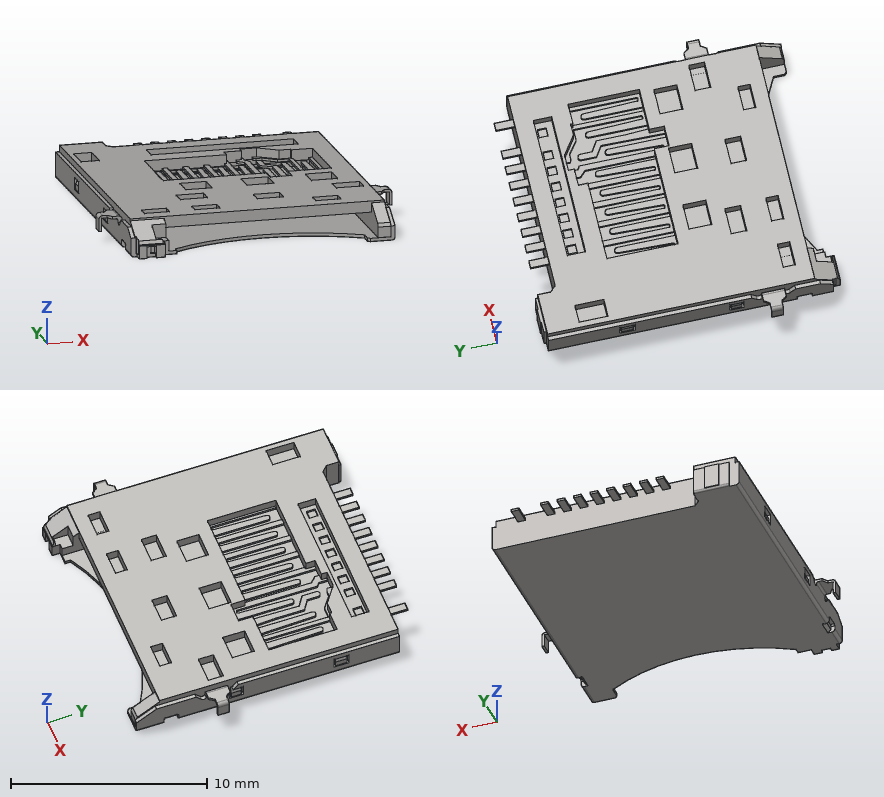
import cadquery as cq
import math

HEIGHT = 1.76
SHELL_HALF_WIDTH = 6.92
BODY_HALF_WIDTH = 6.71
SHEET = 0.18
WALL = SHELL_HALF_WIDTH - BODY_HALF_WIDTH
SHELL_TOP = 1.42
BEND_RADIUS = 0.17

REAR = 6.6
REAR_TAB = 7.58
COVER_FRONT = -6.4
LEFT_FRONT = -7.33
RIGHT_FRONT = -7.74
OUTER_REAR = 7.76
OUTER_LENGTH = 15.52
OUTER_FRONT = OUTER_REAR - OUTER_LENGTH

SLOT_LEFT = -4.92
SLOT_RIGHT = 6.03
SLOT_TOP = 1.17
SLOT_REAR = 5.8

COMB_TOP = 1.29
CONTACT_PITCH = 1.1
WINDOW_LEFT = -3.26
WINDOW_RIGHT = 5.61
WINDOW_FRONT = -0.04
WINDOW_REAR = 3.69
LONG_FRONT = -0.82


def block(x0, x1, y0, y1, z0, z1):
    return cq.Workplane("XY").box(x1 - x0, y1 - y0, z1 - z0, centered=False).translate((x0, y0, z0))


def prism(points, z0, z1):
    return cq.Workplane("XY").workplane(offset=z0).polyline(points).close().extrude(z1 - z0)


def side_prism(points, x0, x1):
    """Extrude a (y, z) outline along X."""
    return cq.Workplane("YZ").workplane(offset=x0).polyline(points).close().extrude(x1 - x0)


REAR_TAB_RIGHT = -4.44
REAR_TAB_CHAMFER = 0.3
LEG_STEP = 0.1
LEG_TOP = HEIGHT - LEG_STEP
LEG_TIP = -7.62
LEG_TIP_BEVEL = 0.1
LEG_TIP_TOP = 0.92
LEG_NOSE_TOP = 0.74


def cover():
    chamfer_right = REAR_TAB_RIGHT + REAR_TAB_CHAMFER
    outline = [
        (-BODY_HALF_WIDTH, COVER_FRONT),
        (BODY_HALF_WIDTH, COVER_FRONT),
        (BODY_HALF_WIDTH, REAR),
        (chamfer_right, REAR),
        (REAR_TAB_RIGHT, REAR + REAR_TAB_CHAMFER),
        (REAR_TAB_RIGHT, REAR_TAB),
        (-BODY_HALF_WIDTH, REAR_TAB),
    ]
    slot = block(SLOT_LEFT, SLOT_RIGHT, COVER_FRONT, SLOT_REAR, 0, SLOT_TOP)
    return prism(outline, 0, HEIGHT).edges("|Y and <Z").chamfer(BEND_RADIUS).cut(slot)


def leg(x0, x1):
    """A leg that slopes down in front of the cover, beside the mouth of the slot."""
    profile = [
        (COVER_FRONT, SHEET),
        (COVER_FRONT, LEG_TOP),
        (LEG_TIP, LEG_TIP_TOP),
        (LEG_TIP - LEG_TIP_BEVEL, LEG_NOSE_TOP),
        (LEG_TIP - LEG_TIP_BEVEL, SHEET),
    ]
    return side_prism(profile, x0, x1)


LEFT_NOTCH_X = -5.66
LEFT_NOTCH_REAR = -6.73
HOOK_LEFT = -6.59
HOOK_RIGHT = -5.22
LIP_REAR = -7.56
LIP_BEVEL = 0.14
SHOULDER_X = -6.65
SHOULDER_FRONT = -7.42
SHOULDER_BEVEL = 0.12


def left_leg():
    """Left leg, with a notch on its inner side that leaves a low lip at the front."""
    notch = block(LEFT_NOTCH_X, SLOT_LEFT, LIP_REAR, LEFT_NOTCH_REAR, LEG_NOSE_TOP, HEIGHT)
    above_lip = block(LEFT_NOTCH_X, SLOT_LEFT, OUTER_FRONT, LIP_REAR, LEG_TIP_TOP, HEIGHT)
    corner = block(HOOK_RIGHT, SLOT_LEFT, OUTER_FRONT, LEFT_FRONT, 0, HEIGHT)
    shoulder = prism(
        [
            (-BODY_HALF_WIDTH, OUTER_FRONT),
            (-BODY_HALF_WIDTH, LEFT_FRONT),
            (SHOULDER_X, LEFT_FRONT),
            (SHOULDER_X, SHOULDER_FRONT),
            (HOOK_LEFT, SHOULDER_FRONT - SHOULDER_BEVEL),
            (HOOK_LEFT, OUTER_FRONT),
        ],
        0,
        HEIGHT,
    )
    lip_bevel = (
        cq.Workplane("XZ", origin=(0, OUTER_FRONT, 0))
        .polyline(
            [
                (HOOK_RIGHT - LIP_BEVEL, LEG_TIP_TOP),
                (HOOK_RIGHT, LEG_TIP_TOP),
                (HOOK_RIGHT, LEG_NOSE_TOP),
            ]
        )
        .close()
        .extrude(OUTER_FRONT - LIP_REAR)
    )
    whole = leg(-BODY_HALF_WIDTH, SLOT_LEFT)
    return whole.cut(notch).cut(above_lip).cut(corner).cut(shoulder).cut(lip_bevel)


RECESS_LEFT = -3.01
RECESS_RIGHT = 5.29
RECESS_TOP = 0.5
RECESS_STEP = 0.43
RECESS_DEPTH = 0.2
RECESS_LIP = 0.06


def slot_recess():
    """Stepped recess low in the rear wall of the slot."""
    middle = SLOT_REAR + RECESS_DEPTH
    outer = block(RECESS_LEFT, RECESS_RIGHT, SLOT_REAR, middle, SHEET, RECESS_TOP)
    inner = block(
        RECESS_LEFT + RECESS_STEP,
        RECESS_RIGHT - RECESS_STEP,
        middle,
        middle + RECESS_DEPTH,
        SHEET + RECESS_LIP,
        RECESS_TOP,
    )
    return outer.union(inner)


COVER_WINDOWS = [
    (-1.89, -1.36, 1.39, 1.2),
    (1.36, -1.36, 1.42, 1.2),
    (4.74, -1.36, 1.39, 1.2),
    (-2.6, -3.21, 1.44, 0.82),
    (5.64, -3.21, 1.44, 0.82),
    (1.21, -4.08, 1.38, 0.82),
    (-5.08, -5.29, 1.32, 0.64),
    (-2.42, -5.29, 1.32, 0.64),
    (3.97, -5.29, 1.32, 0.64),
    (-5.94, 5.11, 0.96, 1.51),
]
WINDOW_FLOOR = 1.23


def cover_windows():
    cuts = cq.Workplane("XY")
    for x, y, length, width in COVER_WINDOWS:
        cuts = cuts.union(
            block(x - length / 2, x + length / 2, y - width / 2, y + width / 2, WINDOW_FLOOR, HEIGHT)
        )
    return cuts


PIN_PITCH = 0.9
PIN_COUNT = 8
FIRST_PIN_X = -2.6
PIN_ROOT = 0.2
LAST_PIN_X = 5.3
PIN_WIDTH = 0.41
PIN_TOP = 1.55
PIN_BOTTOM = 1.42
TROUGH_LEFT = -2.64
TROUGH_RIGHT = 5.12
TROUGH_FRONT = 4.66
TROUGH_REAR = 5.62
TROUGH_FLOOR = COMB_TOP
HOLE_SIZE = 0.46
HOLE_Y = 5.26
HOLE_COUNT = 7
FIRST_HOLE_X = -2.14
LAST_HOLE_X = 4.55


def trough():
    """Long pocket with a row of square holes in its floor."""
    cuts = block(TROUGH_LEFT, TROUGH_RIGHT, TROUGH_FRONT, TROUGH_REAR, TROUGH_FLOOR, HEIGHT)
    hole_xs = [FIRST_HOLE_X + i * PIN_PITCH for i in range(HOLE_COUNT)] + [LAST_HOLE_X]
    half = HOLE_SIZE / 2
    for x in hole_xs:
        cuts = cuts.union(block(x - half, x + half, HOLE_Y - half, HOLE_Y + half, SLOT_TOP, HEIGHT))
    return cuts


def pins():
    pin_xs = [FIRST_PIN_X + i * PIN_PITCH for i in range(PIN_COUNT)] + [LAST_PIN_X]
    row = cq.Workplane("XY")
    for x in pin_xs:
        row = row.union(
            block(x - PIN_WIDTH / 2, x + PIN_WIDTH / 2, REAR - PIN_ROOT, REAR_TAB, PIN_BOTTOM, PIN_TOP)
        )
    return row


BUMP_LEFT = 1.08
BUMP_REAR = 4.19
PEAK_LEFT = 2.0
PEAK_RIGHT = 2.88
PEAK_REAR = 4.5
SHOULDER_LEFT = 3.87
SHOULDER_RIGHT = 4.5
SHOULDER_REAR = 3.81
LONG_LEFT = 2.2
LONG_RIGHT = 3.32


def contact_window():
    outline = [
        (WINDOW_LEFT, WINDOW_REAR),
        (BUMP_LEFT, WINDOW_REAR),
        (BUMP_LEFT, BUMP_REAR),
        (PEAK_LEFT, BUMP_REAR),
        (PEAK_LEFT, PEAK_REAR),
        (PEAK_RIGHT, PEAK_REAR),
        (SHOULDER_LEFT, SHOULDER_REAR),
        (SHOULDER_RIGHT, SHOULDER_REAR),
        (SHOULDER_RIGHT, WINDOW_REAR),
        (WINDOW_RIGHT, WINDOW_REAR),
        (WINDOW_RIGHT, WINDOW_FRONT),
        (LONG_RIGHT, WINDOW_FRONT),
        (LONG_RIGHT, LONG_FRONT),
        (LONG_LEFT, LONG_FRONT),
        (LONG_LEFT, WINDOW_FRONT),
        (WINDOW_LEFT, WINDOW_FRONT),
    ]
    return prism(outline, COMB_TOP, HEIGHT)


FINGER_WIDTH_AT_TIP = 0.2
FINGER_WIDTH_AT_ROOT = 0.29
FINGER_RIB_WIDTH = 0.3
BRANCH_WIDTH = 0.22


def finger_rib(left, tip, root, front, mirrored=False):
    """Round-ended rib that gives a contact slot its finger.

    The finger's straight outer side lies at x = left. The finger ends at y = tip, and the rib
    beside it reaches back to y = root.
    """
    side = -1 if mirrored else 1
    tip_radius = FINGER_WIDTH_AT_TIP / 2
    rib_radius = FINGER_RIB_WIDTH / 2
    tip_inner = left + side * FINGER_WIDTH_AT_TIP
    rib_left = left + side * FINGER_WIDTH_AT_ROOT
    rib_right = rib_left + side * FINGER_RIB_WIDTH
    rib_middle = rib_left + side * rib_radius
    return (
        cq.Workplane("XY")
        .workplane(offset=SLOT_TOP)
        .moveTo(left, front)
        .lineTo(left, tip + tip_radius)
        .threePointArc((left + side * tip_radius, tip), (tip_inner, tip + tip_radius))
        .lineTo(rib_left, root - rib_radius)
        .threePointArc((rib_middle, root), (rib_right, root - rib_radius))
        .lineTo(rib_right, front)
        .close()
        .extrude(COMB_TOP - SLOT_TOP)
    )


FIRST_CONTACT_X = -3.15
PLAIN_CONTACTS = 4
TIP_Y = 0.09
ROOT_Y = 3.16
CONTACT_WIDTH = FINGER_WIDTH_AT_ROOT + FINGER_RIB_WIDTH + BRANCH_WIDTH


def contact_x(index):
    return FIRST_CONTACT_X + index * CONTACT_PITCH


def slot_cut(points):
    return prism(points, SLOT_TOP, COMB_TOP)


def plain_contact_slot(index):
    left = contact_x(index)
    strip = block(left, left + CONTACT_WIDTH, WINDOW_FRONT, WINDOW_REAR, SLOT_TOP, COMB_TOP)
    return strip.cut(finger_rib(left, TIP_Y, ROOT_Y, WINDOW_FRONT))


FIFTH_RIGHT = 2.01
FIFTH_ROOT_RIGHT = 1.7
FIFTH_BEND_Y = 3.63


def fifth_contact_slot():
    left = contact_x(PLAIN_CONTACTS)
    step = FIFTH_RIGHT - FIFTH_ROOT_RIGHT
    strip = slot_cut(
        [
            (left, WINDOW_FRONT),
            (left, BUMP_REAR),
            (FIFTH_ROOT_RIGHT, BUMP_REAR),
            (FIFTH_ROOT_RIGHT, FIFTH_BEND_Y + step),
            (FIFTH_RIGHT, FIFTH_BEND_Y),
            (FIFTH_RIGHT, WINDOW_FRONT),
        ]
    )
    return strip.cut(finger_rib(left, TIP_Y, ROOT_Y, WINDOW_FRONT))


LONG_TIP_Y = -0.6
LONG_ROOT_Y = 2.4
SIXTH_LEFT = 2.32
SEVENTH_RIGHT = 4.37
ROOT_LEFT = 2.13
ROOT_RIGHT = 2.63
ROOT_JOG_FRONT = 3.86
ROOT_JOG_REAR = 4.0
ROOT_CORNER_X = 2.78
ROOT_CORNER_Y = 4.25
DIAGONAL_LEFT = 3.09
DIAGONAL_RIGHT = 3.76

CRANK_LEFT = ROOT_RIGHT
CRANK_RIGHT = 2.95
CRANK_TIP = 3.82
CRANK_FRONT_LEFT = 3.19
CRANK_FRONT_RIGHT = 3.5
CRANK_LEFT_REAR = 2.89
CRANK_LEFT_FRONT = 2.52
CRANK_RIGHT_REAR = 3.06
CRANK_RIGHT_FRONT = 2.7
CRANK_TAPER_START = 1.15
CRANK_TAPER = 0.06


def cranked_rib():
    radius = (CRANK_RIGHT - CRANK_LEFT) / 2
    return (
        cq.Workplane("XY")
        .workplane(offset=SLOT_TOP)
        .moveTo(CRANK_FRONT_LEFT - CRANK_TAPER, LONG_FRONT)
        .lineTo(CRANK_FRONT_LEFT, CRANK_LEFT_FRONT)
        .lineTo(CRANK_LEFT, CRANK_LEFT_REAR)
        .lineTo(CRANK_LEFT, CRANK_TIP - radius)
        .threePointArc((CRANK_LEFT + radius, CRANK_TIP), (CRANK_RIGHT, CRANK_TIP - radius))
        .lineTo(CRANK_RIGHT, CRANK_RIGHT_REAR)
        .lineTo(CRANK_FRONT_RIGHT, CRANK_RIGHT_FRONT)
        .lineTo(CRANK_FRONT_RIGHT, CRANK_TAPER_START)
        .lineTo(CRANK_FRONT_RIGHT + CRANK_TAPER, WINDOW_FRONT)
        .lineTo(CRANK_FRONT_RIGHT + CRANK_TAPER, LONG_FRONT)
        .close()
        .extrude(COMB_TOP - SLOT_TOP)
    )


def double_contact_slot():
    """The long sixth slot and the mirrored seventh one, which share their root."""
    strip = slot_cut(
        [
            (SIXTH_LEFT, LONG_FRONT),
            (SIXTH_LEFT, ROOT_JOG_FRONT),
            (ROOT_LEFT, ROOT_JOG_REAR),
            (ROOT_LEFT, PEAK_REAR),
            (ROOT_RIGHT, PEAK_REAR),
            (ROOT_RIGHT, ROOT_CORNER_Y),
            (ROOT_CORNER_X, BUMP_REAR),
            (DIAGONAL_LEFT, BUMP_REAR),
            (DIAGONAL_RIGHT, WINDOW_REAR),
            (SEVENTH_RIGHT, WINDOW_REAR),
            (SEVENTH_RIGHT, WINDOW_FRONT),
            (LONG_RIGHT, WINDOW_FRONT),
            (LONG_RIGHT, LONG_FRONT),
        ]
    )
    long_rib = finger_rib(SIXTH_LEFT, LONG_TIP_Y, LONG_ROOT_Y, LONG_FRONT)
    mirrored_rib = finger_rib(SEVENTH_RIGHT, TIP_Y, ROOT_Y, WINDOW_FRONT, mirrored=True)
    return strip.cut(cranked_rib()).cut(long_rib).cut(mirrored_rib)


LAST_RIGHT = 5.41


def last_contact_slot():
    strip = block(LAST_RIGHT - CONTACT_WIDTH, LAST_RIGHT, WINDOW_FRONT, WINDOW_REAR, SLOT_TOP, COMB_TOP)
    return strip.cut(finger_rib(LAST_RIGHT, TIP_Y, ROOT_Y, WINDOW_FRONT, mirrored=True))


def contact_slots():
    group = double_contact_slot().union(fifth_contact_slot()).union(last_contact_slot())
    for index in range(PLAIN_CONTACTS):
        group = group.union(plain_contact_slot(index))
    return group


ARC_RADIUS = 9.9
ARC_LEFT = -4.5
ARC_RIGHT = 5.49
ARC_END_Y = -7.03
FOOT_CHAMFER = 0.12


def floor_plate():
    """Bottom of the shell, with a shallow thumb arc between its two legs."""
    middle = (ARC_LEFT + ARC_RIGHT) / 2
    half_chord = (ARC_RIGHT - ARC_LEFT) / 2
    rise = ARC_RADIUS - math.sqrt(ARC_RADIUS**2 - half_chord**2)
    return (
        cq.Workplane("XY")
        .moveTo(-SHELL_HALF_WIDTH, LEFT_FRONT)
        .lineTo(ARC_LEFT, LEFT_FRONT)
        .lineTo(ARC_LEFT, ARC_END_Y)
        .threePointArc((middle, ARC_END_Y + rise), (ARC_RIGHT, ARC_END_Y))
        .lineTo(ARC_RIGHT, RIGHT_FRONT + FOOT_CHAMFER)
        .lineTo(ARC_RIGHT + FOOT_CHAMFER, RIGHT_FRONT)
        .lineTo(SHELL_HALF_WIDTH, RIGHT_FRONT)
        .lineTo(SHELL_HALF_WIDTH, REAR)
        .lineTo(REAR_TAB_RIGHT, REAR)
        .lineTo(REAR_TAB_RIGHT, REAR_TAB)
        .lineTo(-SHELL_HALF_WIDTH, REAR_TAB)
        .close()
        .extrude(SHEET)
    )


TAB_TOP = 1.48
TAB_SHEET = 0.14
TAB_BEND = 0.19
TAB_UNDER_BEND = 0.12
TAB_HALF_ROOT = 0.6
TAB_HALF_TIP = 0.31
TAB_SHOULDER = 7.22
TAB_NECK = 7.42
TAB_FOOT = 0.64
TAB_REACH = 7.85
TAB_WALL_TOP = 1.1
LEFT_TAB_Y = -4.2
RIGHT_TAB_Y = -3.34
SCALLOP_WIDTH = 0.55
SCALLOP_BOTTOM = 1.05
SCALLOP_MIDDLE = 0.17
SCALLOP_RUN = 0.27
SCALLOP_RISE = 0.07
TAB_SIDE_RISE = 0.1
SLOPE_START = -6.65


def side_wall(tab_y, rear, front):
    """Side wall for +X: it dips on both sides of the solder tab and slopes down at the front."""
    slope = (LEG_TOP - LEG_TIP_TOP) / (COVER_FRONT - LEG_TIP)
    front_top = SHELL_TOP - slope * (SLOPE_START - front)
    near = tab_y + TAB_HALF_ROOT
    far = tab_y - TAB_HALF_ROOT
    dip_start_top = SCALLOP_BOTTOM + SCALLOP_RISE
    dip_end_top = SCALLOP_BOTTOM + TAB_SIDE_RISE
    return (
        cq.Workplane("YZ")
        .workplane(offset=BODY_HALF_WIDTH)
        .moveTo(front, 0)
        .lineTo(rear, 0)
        .lineTo(rear, SHELL_TOP)
        .lineTo(near + SCALLOP_WIDTH, SHELL_TOP)
        .lineTo(near + SCALLOP_RUN, dip_start_top)
        .threePointArc((near + SCALLOP_MIDDLE, SCALLOP_BOTTOM), (near, dip_end_top))
        .lineTo(far, dip_end_top)
        .threePointArc((far - SCALLOP_MIDDLE, SCALLOP_BOTTOM), (far - SCALLOP_RUN, dip_start_top))
        .lineTo(far - SCALLOP_WIDTH, SHELL_TOP)
        .lineTo(SLOPE_START, SHELL_TOP)
        .lineTo(front, front_top)
        .close()
        .extrude(WALL)
    )


def solder_tab(tab_y):
    """Solder tab for +X: it bends out of the side wall, narrows and bends down."""
    half_plan = [
        (BODY_HALF_WIDTH, TAB_HALF_ROOT),
        (TAB_SHOULDER, TAB_HALF_ROOT),
        (TAB_NECK, TAB_HALF_TIP),
        (TAB_REACH, TAB_HALF_TIP),
    ]
    plan = [(x, tab_y + y) for x, y in half_plan] + [(x, tab_y - y) for x, y in reversed(half_plan)]
    underside = TAB_TOP - TAB_SHEET
    under_bend = cq.selectors.NearestToPointSelector((SHELL_HALF_WIDTH, 0, underside))
    bent_strip = (
        cq.Workplane("XZ")
        .polyline(
            [
                (BODY_HALF_WIDTH, TAB_WALL_TOP),
                (BODY_HALF_WIDTH, TAB_TOP),
                (TAB_REACH, TAB_TOP),
                (TAB_REACH, TAB_FOOT),
                (TAB_REACH - TAB_SHEET, TAB_FOOT),
                (TAB_REACH - TAB_SHEET, underside),
                (SHELL_HALF_WIDTH, underside),
                (SHELL_HALF_WIDTH, TAB_WALL_TOP),
            ]
        )
        .close()
        .extrude(TAB_HALF_ROOT, both=True)
        .edges(under_bend)
        .fillet(TAB_UNDER_BEND)
        .edges("|Y and >Z")
        .fillet(TAB_BEND)
        .translate((0, tab_y, 0))
    )
    return bent_strip.intersect(prism(plan, 0, HEIGHT))


LATCHES = [(3.44, 0.82), (-2.28, 0.75)]
LATCH_BOTTOM = 0.49
LATCH_SINK = 0.05
LATCH_GAP = 0.1
LATCH_TOP = 1.11
PEG_Y = -5.84
PEG_LENGTH = 0.8
PEG_TOP = 0.43
PEG_CHAMFER = 0.08


def latch_openings():
    """Latch windows and the lower peg notch in the side wall for +X."""
    inner = BODY_HALF_WIDTH
    peg_rear = PEG_Y + PEG_LENGTH / 2
    peg_front = PEG_Y - PEG_LENGTH / 2
    cuts = block(inner - BEND_RADIUS, SHELL_HALF_WIDTH, peg_front, peg_rear, 0, PEG_TOP)
    cuts = cuts.edges("|X and >Z").chamfer(PEG_CHAMFER)
    for y, length in LATCHES:
        cuts = cuts.union(
            block(inner, SHELL_HALF_WIDTH, y - length / 2, y + length / 2, LATCH_BOTTOM, LATCH_TOP)
        )
    return cuts


def latches():
    """Moulded wedges in the latch windows for +X: flat below, sloping inward above mid height."""
    ridge = (LATCH_BOTTOM + LATCH_TOP) / 2
    inner = BODY_HALF_WIDTH
    outer = SHELL_HALF_WIDTH - LATCH_SINK
    wedges = cq.Workplane("XY")
    for y, length in LATCHES:
        wedge = (
            cq.Workplane("XZ")
            .polyline(
                [
                    (inner, LATCH_BOTTOM),
                    (outer, LATCH_BOTTOM),
                    (outer, ridge),
                    (inner, LATCH_TOP),
                ]
            )
            .close()
            .extrude(length / 2 - LATCH_GAP, both=True)
            .translate((0, y, 0))
        )
        wedges = wedges.union(wedge)
    return wedges


def mirrored_to_left(shape):
    return shape.mirror("YZ")


FLANGE_LEFT = -6.41
FLANGE_RIGHT = -4.48
FLANGE_REAR = 7.71
FLANGE_OVERLAP = 0.1
FLANGE_ROOT = REAR_TAB - FLANGE_OVERLAP
FLANGE_BEND = 0.1
PAD_LEFT = -5.87
PAD_RIGHT = -5.09
PAD_BOTTOM = 0.12


def rear_flange():
    """Folded-up flange behind the rear tab, with a thin raised pad in its middle."""
    flange = block(FLANGE_LEFT, FLANGE_RIGHT, FLANGE_ROOT, FLANGE_REAR, 0, SHELL_TOP)
    flange = flange.edges("|X and >Y and <Z").fillet(FLANGE_BEND)
    return flange.union(block(PAD_LEFT, PAD_RIGHT, FLANGE_ROOT, OUTER_REAR, PAD_BOTTOM, SHELL_TOP))


HOOK_SLOT_LEFT = -6.18
HOOK_SLOT_MIDDLE = -5.93
HOOK_SLOT_RIGHT = -5.68
HOOK_SLOT_TOP = 0.62
HOOK_SLOT_DEPTH = 0.2
HOOK_BEVEL = 0.06


def front_hook():
    """Folded end of the shell in front of the left leg, and the stepped slot cut into it."""
    profile = [
        (LEFT_FRONT, 0),
        (LEFT_FRONT, LEG_NOSE_TOP),
        (OUTER_FRONT + HOOK_BEVEL, LEG_NOSE_TOP),
        (OUTER_FRONT, LEG_NOSE_TOP - HOOK_BEVEL),
        (OUTER_FRONT, 0),
    ]
    slot_back = OUTER_FRONT + HOOK_SLOT_DEPTH
    slot = block(HOOK_SLOT_LEFT, HOOK_SLOT_RIGHT, OUTER_FRONT, slot_back, 0, HOOK_SLOT_TOP)
    pocket = block(
        HOOK_SLOT_MIDDLE, HOOK_SLOT_RIGHT, slot_back, slot_back + HOOK_SLOT_DEPTH, SHEET, HOOK_SLOT_TOP
    )
    return side_prism(profile, HOOK_LEFT, HOOK_RIGHT), slot.union(pocket)


def shell():
    right_wall = side_wall(RIGHT_TAB_Y, REAR, RIGHT_FRONT)
    left_wall = mirrored_to_left(side_wall(LEFT_TAB_Y, REAR_TAB, LEFT_FRONT))
    sheet_metal = floor_plate().union(right_wall).union(left_wall)
    sheet_metal = sheet_metal.edges("|Y and <Z and (>X or <X)").fillet(BEND_RADIUS)
    openings = latch_openings()
    sheet_metal = sheet_metal.cut(openings).cut(mirrored_to_left(openings))
    return sheet_metal.union(solder_tab(RIGHT_TAB_Y)).union(mirrored_to_left(solder_tab(LEFT_TAB_Y)))


body = cover().cut(slot_recess()).cut(cover_windows()).cut(trough())
body = body.cut(contact_window()).cut(contact_slots())
body = body.union(left_leg()).union(leg(SLOT_RIGHT, BODY_HALF_WIDTH))
body = body.union(latches()).union(mirrored_to_left(latches()))
hook, hook_slot = front_hook()
metal = shell().union(rear_flange()).union(hook)
result = body.union(metal).cut(hook_slot).union(pins())